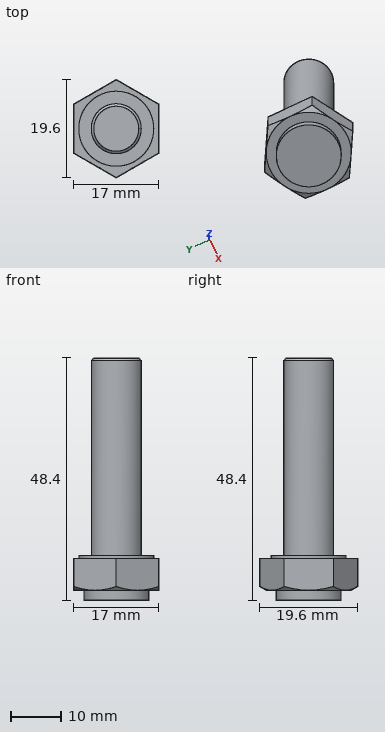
import cadquery as cq
import math

total_length = 48.4
shank_diameter = 10.0
shank_tip_chamfer = 0.5

hex_sides = 6
across_flats = 17.0
across_corners = across_flats / math.cos(math.pi / hex_sides)
head_height = 6.4
corner_chamfer_angle = 30.0
envelope_margin = 1.0

bearing_diameter = 15.0
bearing_height = 0.6
boss_diameter = 13.0
boss_height = 2.0

head_top = boss_height + head_height
bearing_top = head_top + bearing_height


def cylinder(diameter, bottom, top):
    """Cylinder about Z between two heights."""
    return cq.Workplane("XY").workplane(offset=bottom).circle(diameter / 2).extrude(top - bottom)


def hex_head():
    """Hexagon with flats facing +X and -X, its lower corners cut by a cone."""
    prism = (
        cq.Workplane("XY")
        .workplane(offset=boss_height)
        .polygon(hex_sides, across_corners)
        .extrude(head_height)
        .rotate((0, 0, 0), (0, 0, 1), 180 / hex_sides)
    )
    inscribed_radius = across_flats / 2
    outer_radius = across_corners / 2 + envelope_margin
    cone_rise = (outer_radius - inscribed_radius) * math.tan(math.radians(corner_chamfer_angle))
    envelope = (
        cq.Workplane("XZ")
        .moveTo(0, boss_height)
        .lineTo(inscribed_radius, boss_height)
        .lineTo(outer_radius, boss_height + cone_rise)
        .lineTo(outer_radius, head_top)
        .lineTo(0, head_top)
        .close()
        .revolve(360, (0, 0, 0), (0, 1, 0))
    )
    return prism.intersect(envelope)


def shank():
    """Plain shank with a chamfered tip."""
    return cylinder(shank_diameter, head_top, total_length).faces(">Z").chamfer(shank_tip_chamfer)


boss = cylinder(boss_diameter, 0, head_top)
bearing_face = cylinder(bearing_diameter, boss_height, bearing_top)

result = hex_head().union(boss).union(bearing_face).union(shank())